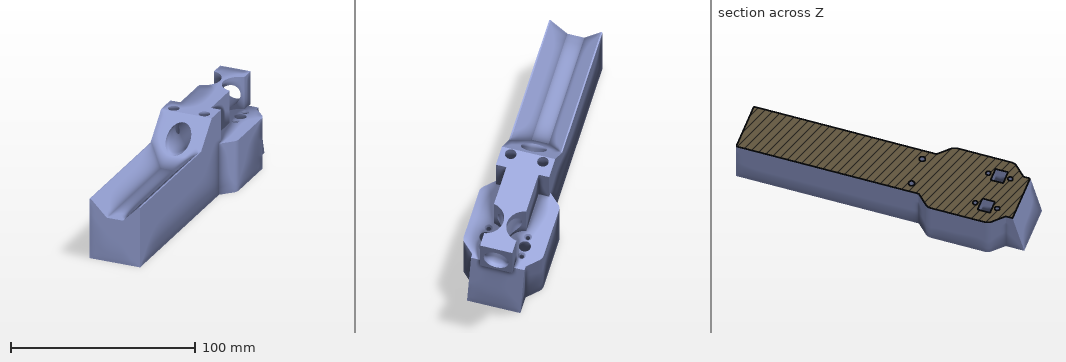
import cadquery as cq
import math

length = 165.1
height = 49.5
body_width = 30.0
wing_span = 45.0
back_y = length / 2
front_y = -length / 2

ledge_z = 30.4
back_slope_deg = 15.0
ledge_back_y = back_y - ledge_z * math.tan(math.radians(back_slope_deg))

head_back_y = back_y - 5.0
head_bottom_z = 29.9
neck_width = 18.2
shoulder_y = back_y - 57.8
ramp_top_y = back_y - 70.0

handle_z = 35.3
trough_floor_z = 26.0
trough_floor_width = 9.5
trough_depth = handle_z - trough_floor_z
trough_top_width = trough_floor_width + 2 * trough_depth
ramp_foot_y = ramp_top_y - (height - handle_z)
trough_end_y = ramp_top_y - (height - trough_floor_z)

wing_back_y = back_y - 10.5
wing_front_y = back_y - 60.5
wing_reach = (wing_span - body_width) / 2
wing_corner_radius = 5.0

bore_diameter = 14.0
bore_z = 38.8

scoop_x = 11.0
scoop_y = back_y - 23.1
scoop_radius = 10.0
center_hole_diameter = 6.6
small_hole_offset = 6.3
small_hole_diameter = 2.5
countersink_diameter = 4.3
countersink_depth = (countersink_diameter - small_hole_diameter) / 2

pocket_width = 8.0
pocket_length = 7.0
pocket_roof_thickness = 1.8
pocket_roof_z = ledge_z - pocket_roof_thickness

screw_x = 9.0
screw_y = back_y - 66.5
screw_diameter = 3.1
screw_head_diameter = 6.3
screw_head_depth = 19.8


def side_profile(points, width):
    """Extrude a (y, z) outline symmetrically about the X = 0 plane."""
    return cq.Workplane("YZ").polyline(points).close().extrude(width / 2, both=True)


def vertical_cylinder(x, y, diameter, bottom, top):
    return cq.Workplane("XY", origin=(x, y, bottom)).circle(diameter / 2).extrude(top - bottom)


def counterbored_hole(x, y, diameter, head_diameter, head_depth, top):
    """Vertical through-hole cutter with a counterbore at the given top height."""
    shank = vertical_cylinder(x, y, diameter, 0, top)
    return shank.union(vertical_cylinder(x, y, head_diameter, top - head_depth, top))


def countersunk_hole(x, y, diameter, head_diameter, head_depth, top):
    """Vertical through-hole cutter with a conical countersink at the given top height."""
    shank = vertical_cylinder(x, y, diameter, 0, top)
    cone = (
        cq.Workplane("XY", origin=(x, y, top - head_depth))
        .circle(diameter / 2)
        .workplane(offset=head_depth)
        .circle(head_diameter / 2)
        .loft()
    )
    return shank.union(cone)


def make_base():
    return side_profile(
        [
            (front_y, 0),
            (back_y, 0),
            (ledge_back_y, ledge_z),
            (shoulder_y, ledge_z),
            (shoulder_y, height),
            (ramp_top_y, height),
            (ramp_foot_y, handle_z),
            (front_y, handle_z),
        ],
        body_width,
    )


def make_wings():
    half_body = body_width / 2
    half_span = wing_span / 2
    outline = [
        (half_body, wing_back_y),
        (half_span, wing_back_y - wing_reach),
        (half_span, wing_front_y + wing_reach),
        (half_body, wing_front_y),
    ]
    outline += [(-x, y) for x, y in reversed(outline)]
    wings = cq.Workplane("XY").polyline(outline).close().extrude(ledge_z)
    outer_edges = cq.selectors.BoxSelector(
        (half_body + wing_reach / 2, front_y, 0), (wing_span, back_y, height)
    ) + cq.selectors.BoxSelector(
        (-wing_span, front_y, 0), (-half_body - wing_reach / 2, back_y, height)
    )
    return wings.edges("|Z").edges(outer_edges).fillet(wing_corner_radius)


def make_neck():
    neck = side_profile(
        [
            (shoulder_y, head_bottom_z),
            (head_back_y, head_bottom_z),
            (head_back_y, height),
            (shoulder_y, height),
        ],
        neck_width,
    )
    for side in (-1, 1):
        neck = neck.cut(
            vertical_cylinder(side * scoop_x, scoop_y, 2 * scoop_radius, ledge_z, height)
        )
    return neck


def make_trough():
    half_floor = trough_floor_width / 2
    half_top = trough_top_width / 2
    trough = (
        cq.Workplane("XZ", origin=(0, ramp_foot_y, 0))
        .polyline(
            [
                (-half_floor, trough_floor_z),
                (half_floor, trough_floor_z),
                (half_top, handle_z),
                (-half_top, handle_z),
            ]
        )
        .close()
        .extrude(ramp_foot_y - front_y)
    )
    ramp_limit = side_profile(
        [
            (front_y, trough_floor_z),
            (trough_end_y, trough_floor_z),
            (ramp_foot_y, handle_z),
            (front_y, handle_z),
        ],
        body_width,
    )
    return trough.intersect(ramp_limit)


def make_bore():
    return (
        cq.Workplane("XZ", origin=(0, back_y, bore_z))
        .circle(bore_diameter / 2)
        .extrude(length)
    )


result = make_base().union(make_wings()).union(make_neck())
result = result.cut(make_trough()).cut(make_bore())

for side in (-1, 1):
    x = side * scoop_x
    result = result.cut(vertical_cylinder(x, scoop_y, center_hole_diameter, 0, ledge_z))
    pocket = cq.Workplane("XY", origin=(x, scoop_y, 0)).rect(pocket_width, pocket_length)
    result = result.cut(pocket.extrude(pocket_roof_z))
    for direction in (-1, 1):
        small_hole = countersunk_hole(
            x,
            scoop_y + direction * small_hole_offset,
            small_hole_diameter,
            countersink_diameter,
            countersink_depth,
            ledge_z,
        )
        result = result.cut(small_hole)
    screw_hole = counterbored_hole(
        side * screw_x, screw_y, screw_diameter, screw_head_diameter, screw_head_depth, height
    )
    result = result.cut(screw_hole)